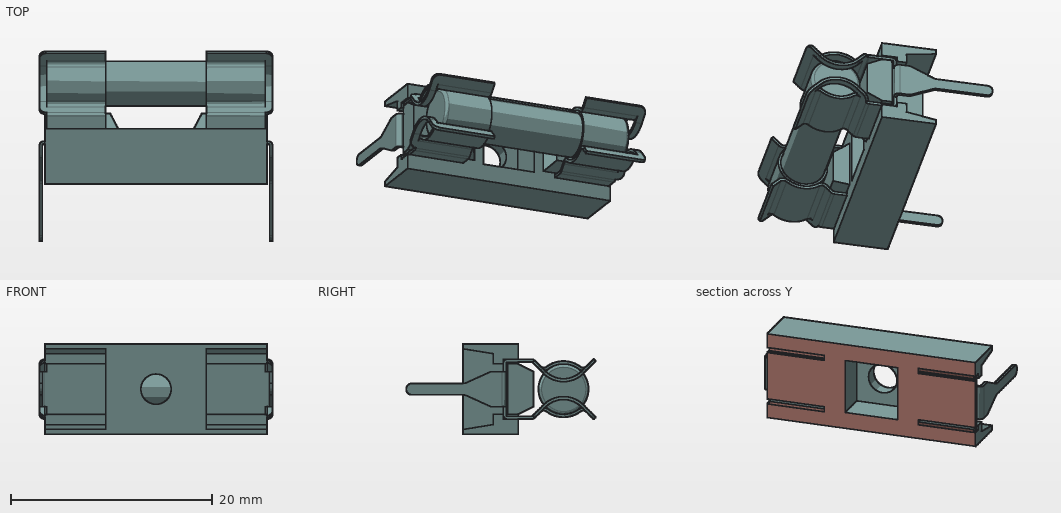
import cadquery as cq
import math

DIAGONAL = math.sqrt(0.5)

clip_outer_x = 11.58
clip_inner_x = 5.0
fuse_y = 9.98
fuse_radius = 2.5

sheet = 0.3
bend_radius = 0.15
bend_mid = bend_radius + sheet / 2
band_end_x = 10.86
clip_half_height = 2.99
base_y = 3.98
clip_tip_y = 13.2

lip_width = clip_outer_x - band_end_x
lip_corner_radius = 0.7

lead_tab_half_height = 1.74
lead_half_height = 0.58
lead_taper_start_y = 2.75
lead_taper_end_y = 0.2
lead_tip_y = -5.65
lead_upper_blend = 0.37
lead_lower_blend = 0.6

housing_length = 22.1
housing_height = 9.0
housing_depth = 5.51
mount_hole_diameter = 3.0
nut_recess_width = 5.51
nut_recess_floor_y = 1.5
clip_gap = 0.19
pocket_front_half_height = 4.0
pocket_back_half_height = 3.52
pocket_step_y = 3.0
pedestal_half_height = clip_half_height - sheet - clip_gap
pedestal_bottom_y = base_y + sheet + clip_gap
pedestal_top_y = 7.02
pedestal_top_half_height = 1.74
pedestal_root_x = 3.75
pedestal_top_x = 4.55

fuse_half_length = 10.0
fuse_tube_radius = 2.25
fuse_cap_rounding = 0.3

leg_shift = sheet / 2 / DIAGONAL
arm_z = clip_half_height - sheet / 2
base_mid_y = base_y + sheet / 2
arm_bend_length = bend_mid * math.tan(math.radians(45 / 2))
arm_corner_y = fuse_y - arm_z - leg_shift
leg_start = (arm_corner_y + arm_bend_length * DIAGONAL, arm_z - arm_bend_length * DIAGONAL)
flare_end_y = clip_tip_y - sheet / 2 * DIAGONAL
flare_end = (flare_end_y, flare_end_y - fuse_y - leg_shift)


def add_fuse_wrap(path):
    """Continue a path from the inner slope around the fuse, with a soft bend on each side."""
    wrap_mid = fuse_radius + sheet / 2
    soft_bend_mid = 2 * bend_mid
    bend_distance = wrap_mid + soft_bend_mid
    angle = math.radians(45) - math.asin((soft_bend_mid - sheet / 2) / bend_distance)
    wrap_dy = wrap_mid * math.sin(angle)
    wrap_z = wrap_mid * math.cos(angle)
    slope_dy = bend_distance * math.sin(angle) + soft_bend_mid * DIAGONAL
    slope_z = slope_dy - leg_shift
    return (
        path.lineTo(fuse_y - slope_dy, slope_z)
        .tangentArcPoint((fuse_y - wrap_dy, wrap_z), relative=False)
        .tangentArcPoint((fuse_y + wrap_dy, wrap_z), relative=False)
        .tangentArcPoint((fuse_y + slope_dy, slope_z), relative=False)
        .lineTo(*flare_end)
    )


def make_half_band():
    """Upper half of the wide band: base, arm, fuse wrap and flared tip."""
    path = (
        cq.Workplane("YZ").moveTo(base_mid_y, 0)
        .lineTo(base_mid_y, arm_z - bend_mid)
        .tangentArcPoint((base_mid_y + bend_mid, arm_z), relative=False)
        .lineTo(arm_corner_y - arm_bend_length, arm_z)
        .tangentArcPoint(leg_start, relative=False)
    )
    path = add_fuse_wrap(path)
    band_length = band_end_x - clip_inner_x
    section = cq.Workplane("XY").center(clip_inner_x + band_length / 2, base_mid_y).rect(band_length, sheet)
    return section.sweep(path)


def make_lip():
    """Strip beside the upper half band, bowed towards the fuse axis to stop the fuse end."""
    bow_mid = fuse_radius + sheet / 2
    bow_dy = bow_mid * DIAGONAL
    bow_z = bow_dy - leg_shift
    path = (
        cq.Workplane("YZ").moveTo(*leg_start)
        .lineTo(fuse_y - bow_dy, bow_z)
        .tangentArcPoint((fuse_y + bow_dy, bow_z), relative=False)
        .lineTo(*flare_end)
    )
    lip_mid_x = band_end_x + lip_width / 2
    start = cq.Plane(origin=(lip_mid_x, *leg_start), xDir=(1, 0, 0), normal=(0, 1, -1))
    lip = cq.Workplane(start).rect(lip_width, sheet).sweep(path)
    return (
        lip.faces(">X").edges("<Y").fillet(lip_corner_radius)
        .faces(">X").edges(">Y").fillet(lip_corner_radius)
    )


def make_lead():
    """Solder lead: a tab from the clip base bent down past the housing end, tapering to a pin."""
    lead_mid_x = clip_outer_x - sheet / 2
    path = (
        cq.Workplane("XY").moveTo(clip_inner_x, base_mid_y)
        .lineTo(lead_mid_x - bend_mid, base_mid_y)
        .tangentArcPoint((lead_mid_x, base_mid_y - bend_mid), relative=False)
        .lineTo(lead_mid_x, lead_tip_y)
    )
    strip = (
        cq.Workplane("YZ", origin=(clip_inner_x, 0, 0)).center(base_mid_y, 0)
        .rect(sheet, 2 * lead_tab_half_height).sweep(path)
    )
    outline = (
        cq.Workplane("YZ")
        .moveTo(base_y + sheet, lead_tab_half_height)
        .lineTo(lead_taper_start_y, lead_tab_half_height)
        .lineTo(lead_taper_end_y, lead_half_height)
        .lineTo(lead_tip_y + lead_half_height, lead_half_height)
        .threePointArc((lead_tip_y, 0), (lead_tip_y + lead_half_height, -lead_half_height))
        .lineTo(lead_taper_end_y, -lead_half_height)
        .lineTo(lead_taper_start_y, -lead_tab_half_height)
        .lineTo(base_y + sheet, -lead_tab_half_height)
        .close().extrude(clip_outer_x)
    )
    for corner_y, blend in (
        (lead_taper_start_y, lead_upper_blend),
        (lead_taper_end_y, lead_lower_blend),
    ):
        corner = cq.selectors.BoxSelector(
            (0, corner_y - sheet / 2, -housing_height),
            (clip_outer_x, corner_y + sheet / 2, housing_height),
        )
        outline = outline.edges("|X").edges(corner).fillet(blend)
    return strip.intersect(outline)


def make_clip(side):
    """One complete clip; side is +1 or -1 along X."""
    upper_half = make_half_band().union(make_lip())
    clip = upper_half.union(upper_half.mirror("XY")).union(make_lead())
    if side < 0:
        clip = clip.mirror("YZ")
    return clip


def make_pedestal(side):
    """Wedge on the fuse side of the housing that fills the space between the clip arms."""
    end_x = housing_length / 2
    side_shape = (
        cq.Workplane("XY")
        .polyline([
            (side * clip_inner_x, pedestal_bottom_y),
            (side * end_x, pedestal_bottom_y),
            (side * end_x, pedestal_top_y),
            (side * pedestal_top_x, pedestal_top_y),
            (side * pedestal_root_x, housing_depth),
            (side * clip_inner_x, housing_depth),
        ])
        .close().extrude(housing_height / 2, both=True)
    )
    end_shape = (
        cq.Workplane("YZ")
        .polyline([
            (pedestal_bottom_y, pedestal_half_height),
            (housing_depth, pedestal_half_height),
            (pedestal_top_y, pedestal_top_half_height),
            (pedestal_top_y, -pedestal_top_half_height),
            (housing_depth, -pedestal_half_height),
            (pedestal_bottom_y, -pedestal_half_height),
        ])
        .close().extrude(housing_length / 2, both=True)
    )
    return side_shape.intersect(end_shape)


def make_pocket(side):
    """Opening at one end of the housing: flared lead space, ledge gap and clip slot."""
    upper_outline = [
        (0, pocket_front_half_height),
        (pocket_step_y, pocket_back_half_height),
        (pocket_step_y, pedestal_half_height),
        (base_y, pedestal_half_height),
        (base_y, clip_half_height),
        (housing_depth, clip_half_height),
    ]
    lower_outline = [(y, -z) for y, z in reversed(upper_outline)]
    pocket_length = housing_length / 2 - clip_inner_x
    return (
        cq.Workplane("YZ", origin=(side * clip_inner_x, 0, 0))
        .polyline(upper_outline + lower_outline).close().extrude(side * pocket_length)
    )


def make_housing():
    housing = cq.Workplane("XY").box(
        housing_length, housing_depth, housing_height, centered=(True, False, True)
    )
    for side in (-1, 1):
        housing = housing.cut(make_pocket(side)).union(make_pedestal(side))
    mount_hole = cq.Workplane("XZ").circle(mount_hole_diameter / 2).extrude(-housing_depth)
    nut_recess = (
        cq.Workplane("XZ", origin=(0, nut_recess_floor_y, 0))
        .rect(nut_recess_width, nut_recess_width).extrude(nut_recess_floor_y - housing_depth)
    )
    return housing.cut(mount_hole).cut(nut_recess)


def make_fuse():
    """Tube with a rounded-edge cap at each end; the caps are as long as the clips reach inwards."""
    tube = cq.Workplane("YZ").center(fuse_y, 0).circle(fuse_tube_radius).extrude(clip_inner_x, both=True)
    cap_length = fuse_half_length - clip_inner_x
    cap = (
        cq.Workplane("YZ", origin=(clip_inner_x, 0, 0)).center(fuse_y, 0)
        .circle(fuse_radius).extrude(cap_length)
        .faces(">X").edges().fillet(fuse_cap_rounding)
    )
    return tube.union(cap).union(cap.mirror("YZ"))


housing = make_housing().solids()
fuse = make_fuse().solids()
clips = [make_clip(side).solids() for side in (-1, 1)]

result = cq.Compound.makeCompound([housing.val(), fuse.val(), *[clip.val() for clip in clips]])